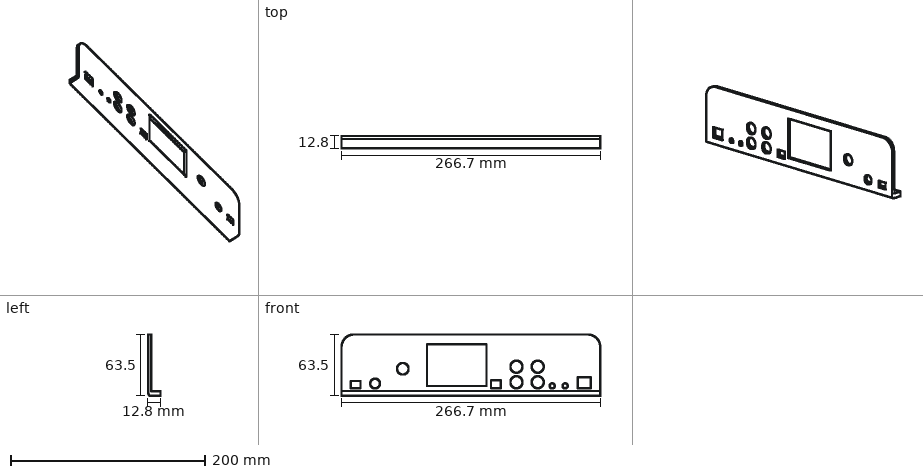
import cadquery as cq

length = 266.7
depth = 12.8
height = 63.5
panel_thickness = 3.2
flange_thickness = 5.0
top_corner_radius = 13.0
heel_radius = 3.0

socket_base = 8.0
rectangular_openings = [
    (9.5, socket_base, 10.0, 7.2),
    (88.3, 10.5, 61.0, 42.7),
    (154.2, socket_base, 10.0, 8.0),
    (243.5, socket_base, 13.0, 11.2),
]

knob_diameter = 11.7
knob_center = (63.2, 28.0)
jack_diameter = 10.0
jack_center = (34.7, 12.8)
button_diameter = 12.3
button_columns = (180.3, 202.2)
button_rows = (14.1, 30.1)
button_centers = [(x, z) for x in button_columns for z in button_rows]
indicator_diameter = 5.0
indicator_centers = [(217.0, 10.5), (230.5, 10.5)]


def make_bracket():
    """L-shaped section with a rounded rear heel and rounded top corners."""
    panel_front = depth - panel_thickness
    body = (
        cq.Workplane("YZ")
        .moveTo(0, 0)
        .lineTo(depth, 0)
        .lineTo(depth, height)
        .lineTo(panel_front, height)
        .lineTo(panel_front, flange_thickness)
        .lineTo(0, flange_thickness)
        .close()
        .extrude(length)
    )
    body = body.edges("|X and >Y and <Z").fillet(heel_radius)
    return body.edges("|Y and >Z").fillet(top_corner_radius)


def round_cutters(centers, diameter):
    """Cylinders along Y that pass through the full depth."""
    return cq.Workplane("XZ").pushPoints(centers).circle(diameter / 2).extrude(-depth)


def rectangular_cutter(left, bottom, width, opening_height):
    """Block with its lower left corner at the given x and z."""
    return cq.Workplane("XY").box(width, depth, opening_height, centered=False).translate((left, 0, bottom))


result = make_bracket()
for opening in rectangular_openings:
    result = result.cut(rectangular_cutter(*opening))
for centers, diameter in [
    ([knob_center], knob_diameter),
    ([jack_center], jack_diameter),
    (button_centers, button_diameter),
    (indicator_centers, indicator_diameter),
]:
    result = result.cut(round_cutters(centers, diameter))